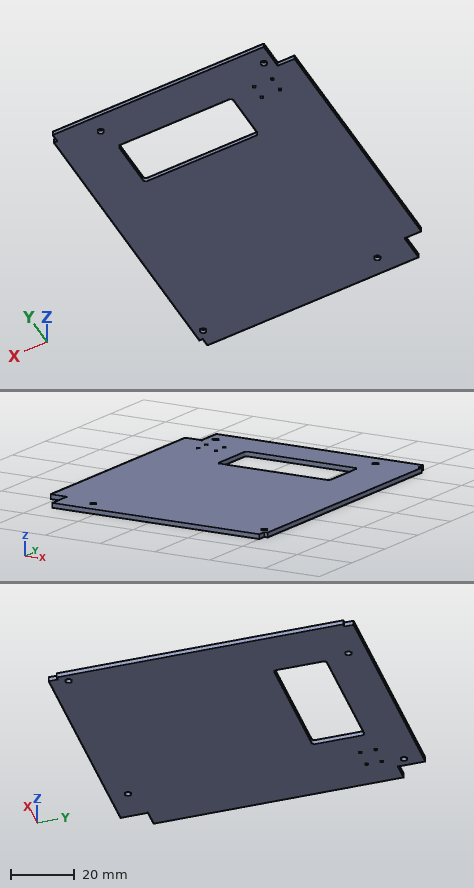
import cadquery as cq

plate_width = 82.8
plate_height = 100.0
plate_thickness = 1.6

left_notch_width = 6.0
left_notch_height = 9.0
right_notch_width = 1.2
right_notch_height = 3.0

window_left = 25.1
window_bottom = 68.9
window_width = 40.8
window_height = 17.2
window_corner_radius = 1.0

mounting_hole_diameter = 2.0
mounting_row_inset = 6.0
bottom_hole_xs = (17.4, 79.8)
top_hole_xs = (9.3, 67.7)

pin_hole_diameter = 0.9
pin_spacing_x = 6.5
pin_spacing_y = 5.0
pin_center_x = 13.4
pin_center_y = 84.5


def box_from_corner(left, bottom, width, height):
    """Block through the plate thickness, placed by its lower-left corner."""
    block = cq.Workplane("XY").box(width, height, plate_thickness, centered=False)
    return block.translate((left, bottom, 0))


def through_holes(centers, diameter):
    """Cylinders through the plate thickness at the given centers."""
    return cq.Workplane("XY").pushPoints(centers).circle(diameter / 2).extrude(plate_thickness)


plate = box_from_corner(0, 0, plate_width, plate_height)

for left, width, height in (
    (0, left_notch_width, left_notch_height),
    (plate_width - right_notch_width, right_notch_width, right_notch_height),
):
    for bottom in (0, plate_height - height):
        plate = plate.cut(box_from_corner(left, bottom, width, height))

window = box_from_corner(window_left, window_bottom, window_width, window_height)
plate = plate.cut(window.edges("|Z").fillet(window_corner_radius))

mounting_centers = [(x, mounting_row_inset) for x in bottom_hole_xs]
mounting_centers += [(x, plate_height - mounting_row_inset) for x in top_hole_xs]
plate = plate.cut(through_holes(mounting_centers, mounting_hole_diameter))

pin_centers = [
    (pin_center_x + side_x * pin_spacing_x / 2, pin_center_y + side_y * pin_spacing_y / 2)
    for side_x in (-1, 1)
    for side_y in (-1, 1)
]
plate = plate.cut(through_holes(pin_centers, pin_hole_diameter))

result = plate